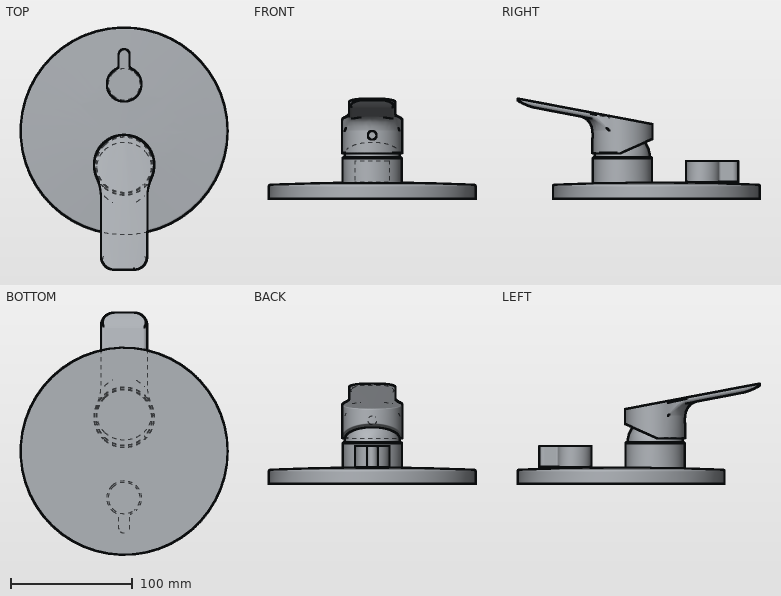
import cadquery as cq
import math

overall_length = 198.8

plate_diameter = 170.0
plate_radius = plate_diameter / 2
plate_wall_height = 10.0
plate_rim_height = 11.7
plate_rim_inset = 2.0
plate_crown_height = 13.5

knob_diameter = 28.5
knob_radius = knob_diameter / 2
knob_y = 38.4
knob_tip_y = 67.2
knob_bottom = 14.0
knob_top = 31.2
knob_arm_width = 9.0
knob_corner_radius = 2.0
knob_edge_radius = 0.8
knob_stem_radius = 13.0

mixer_y = -27.8
body_radius = 24.5
body_top = 34.4
body_chamfer = 1.2
neck_radius = 22.9
neck_center_height = 33.0

head_radius = 24.9
head_bottom = 37.4
relief_start_y = -29.5
relief_end_y = -3.2
relief_end_height = 49.1

lever_width = 38.2
lever_tip_y = plate_radius - overall_length
lever_corner_radius = 11.1
lever_waist_radius = 35.8
lever_tilt = 10.8
lever_drop = 5.2
lever_tip_height = 82.5
lever_tip_edge = 1.8
lever_bevel_length = 13.1
lever_bevel_bulge = 0.5
lever_crown_radius = 298.2
lever_top_edge_radius = 0.8
lever_bottom_edge_radius = 3.2
lever_throat_radius = 12.0

plug_radius = 3.5
plug_height = 52.0
plug_depth = 0.5

lever_slope = math.tan(math.radians(lever_tilt))
clearance = 4.0
blank_top = lever_tip_height + clearance


def lever_top_at(y):
    """Height of the lever's top ridge at a given y."""
    return lever_tip_height - lever_slope * (y - lever_tip_y)


def lever_underside_at(y):
    """Height of the lever's flat underside at a given y."""
    return lever_top_at(y) - lever_drop


def make_plate():
    rim_radius = plate_radius - plate_rim_inset
    dome_rise = plate_crown_height - plate_rim_height
    dome_radius = (rim_radius**2 + dome_rise**2) / (2 * dome_rise)
    mid_radius = rim_radius / 2
    mid_height = plate_crown_height - dome_radius + math.sqrt(dome_radius**2 - mid_radius**2)
    round_offset = math.sqrt(0.5)
    rim_mid = (
        rim_radius + plate_rim_inset * round_offset,
        plate_wall_height + (plate_rim_height - plate_wall_height) * round_offset,
    )
    profile = (
        cq.Workplane("XZ")
        .lineTo(plate_radius, 0)
        .lineTo(plate_radius, plate_wall_height)
        .threePointArc(rim_mid, (rim_radius, plate_rim_height))
        .threePointArc((mid_radius, mid_height), (0, plate_crown_height))
        .close()
    )
    return profile.revolve(360, (0, 0, 0), (0, 1, 0))


def make_knob():
    height = knob_top - knob_bottom
    arm_length = knob_tip_y - knob_y
    half_arm = knob_arm_width / 2
    plane = cq.Workplane("XY").workplane(offset=knob_bottom).center(0, knob_y)
    arm = (
        plane.moveTo(-half_arm, 0)
        .lineTo(half_arm, 0)
        .lineTo(half_arm, arm_length - half_arm)
        .threePointArc((0, arm_length), (-half_arm, arm_length - half_arm))
        .close()
        .extrude(height)
    )
    knob = plane.circle(knob_radius).extrude(height).union(arm)
    corner_y = knob_y + math.sqrt(knob_radius**2 - half_arm**2)
    middle = (knob_bottom + knob_top) / 2
    for side in (-1, 1):
        corner = cq.selectors.NearestToPointSelector((side * half_arm, corner_y, middle))
        knob = knob.edges(corner).fillet(knob_corner_radius)
    knob = knob.faces(">Z").edges().fillet(knob_edge_radius)
    stem = cq.Workplane("XY").center(0, knob_y).circle(knob_stem_radius).extrude(knob_bottom)
    return knob.union(stem)


def make_body():
    body = (
        cq.Workplane("XY")
        .center(0, mixer_y)
        .circle(body_radius)
        .extrude(body_top)
        .faces(">Z")
        .chamfer(body_chamfer)
    )
    neck = cq.Workplane("XY").sphere(neck_radius).translate((0, mixer_y, neck_center_height))
    return body.union(neck)


def make_handle_prism():
    """Plan outline of the handle: round head, necked waist and straight lever."""
    half_width = lever_width / 2
    waist_x = half_width + lever_waist_radius
    center_distance = head_radius + lever_waist_radius
    tangent_angle = math.acos(waist_x / center_distance)
    waist_y = mixer_y - center_distance * math.sin(tangent_angle)
    tangent_x = head_radius * math.cos(tangent_angle)
    tangent_y = mixer_y - head_radius * math.sin(tangent_angle)
    mid_angle = tangent_angle / 2
    mid_x = waist_x - lever_waist_radius * math.cos(mid_angle)
    mid_y = waist_y + lever_waist_radius * math.sin(mid_angle)
    return (
        cq.Workplane("XY")
        .workplane(offset=head_bottom)
        .moveTo(half_width, lever_tip_y)
        .lineTo(half_width, waist_y)
        .threePointArc((mid_x, mid_y), (tangent_x, tangent_y))
        .threePointArc((0, mixer_y + head_radius), (-tangent_x, tangent_y))
        .threePointArc((-mid_x, mid_y), (-half_width, waist_y))
        .lineTo(-half_width, lever_tip_y)
        .close()
        .extrude(blank_top - head_bottom)
        .edges("|Z and <Y")
        .fillet(lever_corner_radius)
    )


def make_lever(prism):
    """Lever blade with rounded lower edges and a bevelled tip."""
    bevel_y = lever_tip_y + lever_bevel_length
    tip_bottom = lever_tip_height - lever_tip_edge
    bevel_mid_y = (bevel_y + lever_tip_y) / 2
    bevel_mid_height = (lever_underside_at(bevel_y) + tip_bottom) / 2 - lever_bevel_bulge
    front_y = lever_tip_y - clearance
    back_y = mixer_y + head_radius + clearance
    below_underside = (
        cq.Workplane("YZ")
        .moveTo(front_y, lever_underside_at(front_y))
        .lineTo(back_y, lever_underside_at(back_y))
        .lineTo(back_y, 0)
        .lineTo(front_y, 0)
        .close()
        .extrude(2 * head_radius, both=True)
    )
    bevel = (
        cq.Workplane("YZ")
        .moveTo(bevel_y, lever_underside_at(bevel_y))
        .threePointArc((bevel_mid_y, bevel_mid_height), (lever_tip_y, tip_bottom))
        .lineTo(front_y, tip_bottom)
        .lineTo(front_y, 0)
        .lineTo(bevel_y, 0)
        .close()
        .extrude(2 * head_radius, both=True)
    )
    lever = prism.cut(below_underside)
    lever = lever.faces("<Z").edges().fillet(lever_bottom_edge_radius)
    return lever.cut(bevel)


def make_throat(prism):
    """Concave sweep around the head that runs out into the lever's underside."""
    tilt = math.radians(lever_tilt)
    radius = lever_throat_radius
    center_r = head_radius + radius
    end_r = center_r - radius * math.sin(tilt)
    end_height = lever_underside_at(mixer_y - end_r)
    center_height = end_height - radius * math.cos(tilt)
    mid_angle = (math.pi + math.pi / 2 + tilt) / 2
    mid = (center_r + radius * math.cos(mid_angle), center_height + radius * math.sin(mid_angle))
    profile = (
        cq.Workplane("XZ")
        .moveTo(0, center_height)
        .lineTo(head_radius, center_height)
        .threePointArc(mid, (end_r, end_height))
        .lineTo(end_r, blank_top)
        .lineTo(0, blank_top)
        .close()
    )
    throat = profile.revolve(360, (0, 0, 0), (0, 1, 0)).translate((0, mixer_y, 0))
    return throat.intersect(prism).edges("%BSPLINE").fillet(lever_bottom_edge_radius)


def make_head():
    head = (
        cq.Workplane("XY", origin=(0, mixer_y, head_bottom))
        .circle(head_radius)
        .extrude(blank_top - head_bottom)
    )
    rise = (relief_end_height - head_bottom) / (relief_end_y - relief_start_y)
    beyond_y = relief_end_y + clearance
    relief = (
        cq.Workplane("YZ")
        .moveTo(relief_start_y, head_bottom)
        .lineTo(beyond_y, head_bottom)
        .lineTo(beyond_y, head_bottom + rise * (beyond_y - relief_start_y))
        .close()
        .extrude(2 * head_radius, both=True)
    )
    return head.cut(relief)


def make_plug_recess():
    floor_y = mixer_y - head_radius + plug_depth
    return (
        cq.Workplane("XZ", origin=(0, floor_y, plug_height))
        .circle(plug_radius)
        .extrude(head_radius)
    )


def make_crown():
    """Large tilted cylinder whose upper side is the slightly crowned handle top."""
    tilt = math.radians(lever_tilt)
    along = (0, -math.cos(tilt), math.sin(tilt))
    down = (0, -math.sin(tilt), -math.cos(tilt))
    ridge_y = plate_diameter
    origin = (
        0,
        ridge_y + down[1] * lever_crown_radius,
        lever_top_at(ridge_y) + down[2] * lever_crown_radius,
    )
    plane = cq.Plane(origin=origin, xDir=(1, 0, 0), normal=along)
    return cq.Workplane(plane).circle(lever_crown_radius).extrude(2 * overall_length)


def make_handle():
    prism = make_handle_prism()
    handle = make_head().union(make_lever(prism)).union(make_throat(prism))
    handle = handle.intersect(make_crown())
    top_face = cq.selectors.NearestToPointSelector((0, mixer_y, lever_top_at(mixer_y)))
    handle = handle.faces(top_face).edges().fillet(lever_top_edge_radius)
    return handle.cut(make_plug_recess())


result = make_plate().union(make_knob()).union(make_body()).union(make_handle())